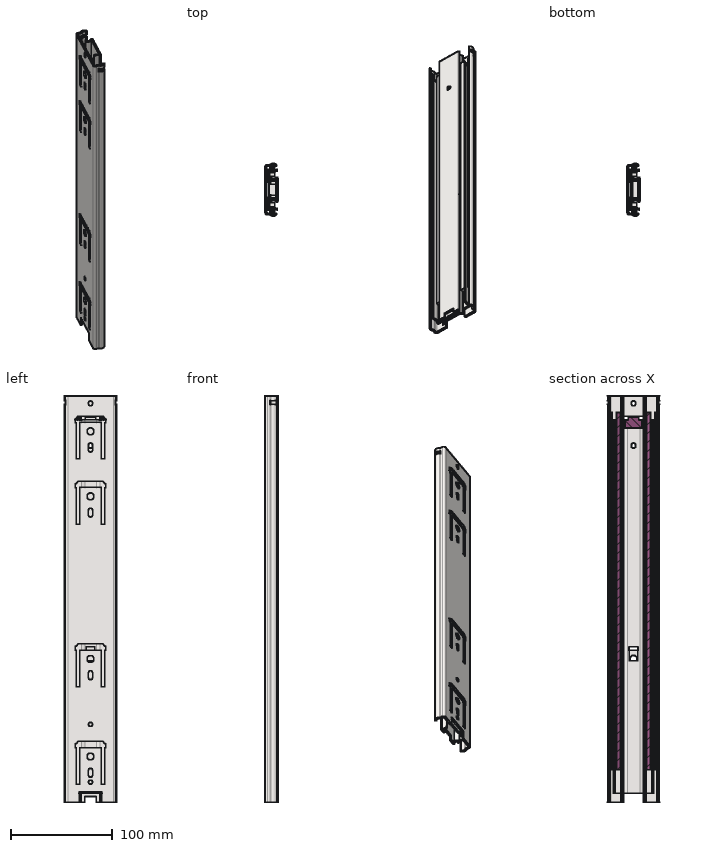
import cadquery as cq
import math

LENGTH = 400.0
WIDTH = 52.0
DEPTH = 13.0
SHEET = 1.8
THIN_SHEET = 1.5
CUT_DEPTH = 2 * DEPTH

FLANGE_Y = 25.0
CORNER_RADIUS = 2.5
RACE_START_X = 5.0
RACE_RADIUS = 4.0
RACE_HOLLOW_RADIUS = 1.0
RACE_TIP_ANGLE = 25.0
RAIL_TIP_X = 12.0

MIDDLE_WEB_X = 3.0
CHANNEL_X = 3.8
CHANNEL_HALF_WIDTH = 5.5
CHANNEL_MOUTH = 9.0
WALL_STEP = 0.6
MIDDLE_BOTTOM = 9.0
MIDDLE_TOP = 376.5
CHANNEL_OPENING = (9.0, 139.5, 153.0)
MIDDLE_FLANGE_Y = 20.0
MIDDLE_GROOVE = 0.6

INNER_FLANGE_Y = 12.5
INNER_CORNER_RADIUS = 1.4
INNER_FLANGE_X = 5.0
INNER_GROOVE = 1.8
INNER_LIP = 1.5

RETAINER_X = 4.6
OUTER_RETAINER_SIZE = (5.0, 21.0, 23.0)
INNER_RETAINER_SIZE = (5.0, 13.0, 17.0)
RETAINER_BOTTOM = 32.0
RETAINER_TOP = 384.0

MOUNT_TOPS = (380.0, 316.0, 156.0, 60.0)
TONGUE_HALF_WIDTH = 10.5
SLIT_WIDTH = 3.5
SLIT_LENGTH = 42.0
WINDOW_HEIGHT = 6.0
WINDOW_CORNER = 2.0
EAR_HALF_WIDTH = 15.0
EAR_HEIGHT = 4.0
EAR_DROP = 4.5
SCREW_HOLE_DIAMETER = 7.0
SCREW_HOLE_DROP = 15.0
SMALL_SLOT_WIDTH = 4.0
SMALL_SLOT_LENGTH = 9.0
SMALL_SLOT_DROP = 31.0

TOP_SLOT_Z = 393.0
TOP_SLOT_LENGTH = 5.0
PIN_HOLE_DIAMETER = 4.0
PIN_HOLE_HEIGHTS = (77.0, 20.0)
FLANGE_NOTCH_Z = 393.5
FLANGE_NOTCH_HEIGHT = 3.5
OUTER_NOTCH = (22.5, 10.5)
INNER_NOTCH = (11.0, 5.5)

THROUGH_SLOT_RISE = 2.0
THROUGH_SLOT_Z = MOUNT_TOPS[0] - SMALL_SLOT_DROP + THROUGH_SLOT_RISE
THROUGH_SLOT_LENGTH = 5.0

BUMPER_X = 3.8
BUMPER_HALF_WIDTH = 5.4
CAP_HEIGHT = 3.0
STEM_HALF_WIDTH = 8.5
STEM_LENGTH = 8.0
STEM_X = 5.5
BUMPER_GAP = 0.2


def arc_inset(radius):
    """Distance along each axis from the tangent lines of a round corner to the middle of its arc."""
    return radius * (1 - math.cos(math.radians(45)))


def symmetric_rail(half_outline, length):
    """Extrude the +Y half of a section and complete it by mirroring."""
    half = half_outline.close().extrude(length)
    return half.union(half.mirror("XZ")).clean()


def web_plane():
    """Plane of the webs: local x runs along Y and local y along Z."""
    return cq.Workplane("YZ").workplane(offset=-DEPTH / 2)


def web_box(y, z, width, height):
    return web_plane().center(y, z).rect(width, height).extrude(CUT_DEPTH)


def web_hole(z, diameter):
    return web_plane().center(0, z).circle(diameter / 2).extrude(CUT_DEPTH)


def web_slot(z, length, width):
    return web_plane().center(0, z).slot2D(length, width, 90).extrude(CUT_DEPTH)


def end_notch(size):
    width, height = size
    return web_box(0, height / 2, width, height)


def web_only(cutter, x_limit):
    """Keep the part of a cutter below a depth, so that it cuts one web and no flange lip."""
    slab = cq.Workplane("XY").box(2 * x_limit, WIDTH, LENGTH, centered=(True, True, False))
    return cutter.intersect(slab)


def mounting_cutter(top):
    """Window with two ears, two slits beside the tongue, a screw hole and a small slot."""
    slit_y = TONGUE_HALF_WIDTH + SLIT_WIDTH / 2
    window_width = 2 * (TONGUE_HALF_WIDTH + SLIT_WIDTH)
    window = web_box(0, top - WINDOW_HEIGHT / 2, window_width, WINDOW_HEIGHT)
    cutter = window.edges("|X and >Z").chamfer(WINDOW_CORNER)
    cutter = cutter.union(web_box(0, top - EAR_DROP, 2 * EAR_HALF_WIDTH, EAR_HEIGHT))
    slit_length = SLIT_LENGTH - EAR_DROP
    for side in (-1, 1):
        slit = web_box(side * slit_y, top - EAR_DROP - slit_length / 2, SLIT_WIDTH, slit_length)
        cutter = cutter.union(slit)
    tongue_top = top - WINDOW_HEIGHT
    tongue = web_box(0, tongue_top - EAR_HEIGHT, 2 * TONGUE_HALF_WIDTH, 2 * EAR_HEIGHT)
    cutter = cutter.cut(tongue)
    cutter = cutter.union(web_hole(top - SCREW_HOLE_DROP, SCREW_HOLE_DIAMETER))
    return cutter.union(web_slot(top - SMALL_SLOT_DROP, SMALL_SLOT_LENGTH, SMALL_SLOT_WIDTH))


def race_lean():
    """Angle from Y, in degrees, at which the hollow meets the bulging race."""
    rise = WIDTH / 2 - FLANGE_Y
    return math.degrees(math.acos(1 - rise / (RACE_RADIUS + RACE_HOLLOW_RADIUS)))


def race_point(angle, radius):
    """Point at an angle in degrees on a circle about the center of the ball race."""
    center_x = RACE_START_X + (RACE_RADIUS + RACE_HOLLOW_RADIUS) * math.sin(math.radians(race_lean()))
    center_y = WIDTH / 2 - RACE_RADIUS
    turn = math.radians(angle)
    return center_x + radius * math.cos(turn), center_y + radius * math.sin(turn)


def make_outer_rail():
    bend_radius = CORNER_RADIUS - SHEET
    corner_shift = arc_inset(CORNER_RADIUS)
    inner_shift = arc_inset(bend_radius)
    inside_y = FLANGE_Y - SHEET
    race_inside = RACE_RADIUS - SHEET
    hollow_end = 90 + race_lean()
    outline = (
        cq.Workplane("XY")
        .lineTo(0, FLANGE_Y - CORNER_RADIUS)
        .threePointArc((corner_shift, FLANGE_Y - corner_shift), (CORNER_RADIUS, FLANGE_Y))
        .lineTo(RACE_START_X, FLANGE_Y)
        .tangentArcPoint(race_point(hollow_end, RACE_RADIUS), relative=False)
        .threePointArc(race_point(90, RACE_RADIUS), race_point(RACE_TIP_ANGLE, RACE_RADIUS))
        .lineTo(*race_point(RACE_TIP_ANGLE, race_inside))
        .threePointArc(race_point(90, race_inside), race_point(hollow_end, race_inside))
        .tangentArcPoint((RACE_START_X, inside_y), relative=False)
        .lineTo(CORNER_RADIUS, inside_y)
        .threePointArc((SHEET + inner_shift, inside_y - inner_shift), (SHEET, inside_y - bend_radius))
        .lineTo(SHEET, 0)
    )
    rail = symmetric_rail(outline, LENGTH)
    for top in MOUNT_TOPS:
        rail = rail.cut(web_only(mounting_cutter(top), SHEET))
    rail = rail.cut(web_only(web_slot(TOP_SLOT_Z, TOP_SLOT_LENGTH, SMALL_SLOT_WIDTH), SHEET))
    for height in PIN_HOLE_HEIGHTS:
        rail = rail.cut(web_only(web_hole(height, PIN_HOLE_DIAMETER), SHEET))
    rail = rail.cut(end_notch(OUTER_NOTCH))
    flange_notch = cq.Workplane("XY").box(
        DEPTH, 2 * WIDTH, FLANGE_NOTCH_HEIGHT, centered=(False, True, True)
    )
    return rail.cut(flange_notch.translate((RACE_START_X, 0, FLANGE_NOTCH_Z)))


def make_middle_rail():
    groove_x = (MIDDLE_WEB_X + RAIL_TIP_X) / 2
    inside_y = MIDDLE_FLANGE_Y - THIN_SHEET
    inside_x = MIDDLE_WEB_X + THIN_SHEET
    outline = (
        cq.Workplane("XY")
        .moveTo(CHANNEL_X, 0)
        .lineTo(CHANNEL_X, CHANNEL_HALF_WIDTH)
        .lineTo(MIDDLE_WEB_X, CHANNEL_MOUTH)
        .lineTo(MIDDLE_WEB_X, MIDDLE_FLANGE_Y)
        .threePointArc((groove_x, MIDDLE_FLANGE_Y - MIDDLE_GROOVE), (RAIL_TIP_X, MIDDLE_FLANGE_Y))
        .lineTo(RAIL_TIP_X, inside_y)
        .threePointArc((groove_x, inside_y - MIDDLE_GROOVE), (inside_x, inside_y))
        .lineTo(inside_x, CHANNEL_MOUTH + WALL_STEP)
        .lineTo(CHANNEL_X + THIN_SHEET, CHANNEL_HALF_WIDTH + WALL_STEP)
        .lineTo(CHANNEL_X + THIN_SHEET, 0)
    )
    rail = symmetric_rail(outline, MIDDLE_TOP - MIDDLE_BOTTOM).translate((0, 0, MIDDLE_BOTTOM))
    width, low_z, high_z = CHANNEL_OPENING
    rail = rail.cut(web_box(0, (low_z + high_z) / 2, width, high_z - low_z))
    return rail.cut(web_slot(THROUGH_SLOT_Z, THROUGH_SLOT_LENGTH, SMALL_SLOT_WIDTH))


def make_inner_rail():
    web_x = DEPTH - SHEET
    inside_y = INNER_FLANGE_Y - INNER_LIP
    race_x = (INNER_FLANGE_X + web_x) / 2
    corner_shift = arc_inset(INNER_CORNER_RADIUS)
    outline = (
        cq.Workplane("XY")
        .moveTo(DEPTH, 0)
        .lineTo(DEPTH, INNER_FLANGE_Y - INNER_CORNER_RADIUS)
        .threePointArc(
            (DEPTH - corner_shift, INNER_FLANGE_Y - corner_shift),
            (DEPTH - INNER_CORNER_RADIUS, INNER_FLANGE_Y),
        )
        .threePointArc((race_x, INNER_FLANGE_Y - INNER_GROOVE), (INNER_FLANGE_X, INNER_FLANGE_Y))
        .lineTo(INNER_FLANGE_X, inside_y)
        .threePointArc((race_x, inside_y - INNER_GROOVE), (web_x, inside_y))
        .lineTo(web_x, 0)
    )
    rail = symmetric_rail(outline, LENGTH).cut(end_notch(INNER_NOTCH))
    return rail.cut(web_slot(THROUGH_SLOT_Z, THROUGH_SLOT_LENGTH, SMALL_SLOT_WIDTH))


def make_retainer(size, side):
    """Flat strip between the facing flanges of two rails."""
    width, low_y, high_y = size
    center_y = side * (low_y + high_y) / 2
    strip = cq.Workplane("XY").box(
        width, high_y - low_y, RETAINER_TOP - RETAINER_BOTTOM, centered=(False, True, False)
    )
    return strip.translate((RETAINER_X, center_y, RETAINER_BOTTOM))


def bumper_block(start_x, half_width, low_z, height):
    end_x = DEPTH - SHEET - BUMPER_GAP
    block = cq.Workplane("XY").box(
        end_x - start_x, 2 * half_width, height, centered=(False, True, False)
    )
    return block.translate((start_x, 0, low_z))


def make_bumper():
    cap = bumper_block(BUMPER_X, BUMPER_HALF_WIDTH, MIDDLE_TOP, CAP_HEIGHT)
    stem = bumper_block(STEM_X, STEM_HALF_WIDTH, MIDDLE_TOP - STEM_LENGTH, STEM_LENGTH)
    return cap.union(stem)


outer_rail = make_outer_rail()
middle_rail = make_middle_rail()
inner_rail = make_inner_rail()
retainers = []
for side in (-1, 1):
    retainers.append(make_retainer(OUTER_RETAINER_SIZE, side))
    retainers.append(make_retainer(INNER_RETAINER_SIZE, side))
bumper = make_bumper()

result = cq.Compound.makeCompound(
    [
        outer_rail.val(),
        middle_rail.val(),
        inner_rail.val(),
        *[retainer.val() for retainer in retainers],
        bumper.val(),
    ]
)